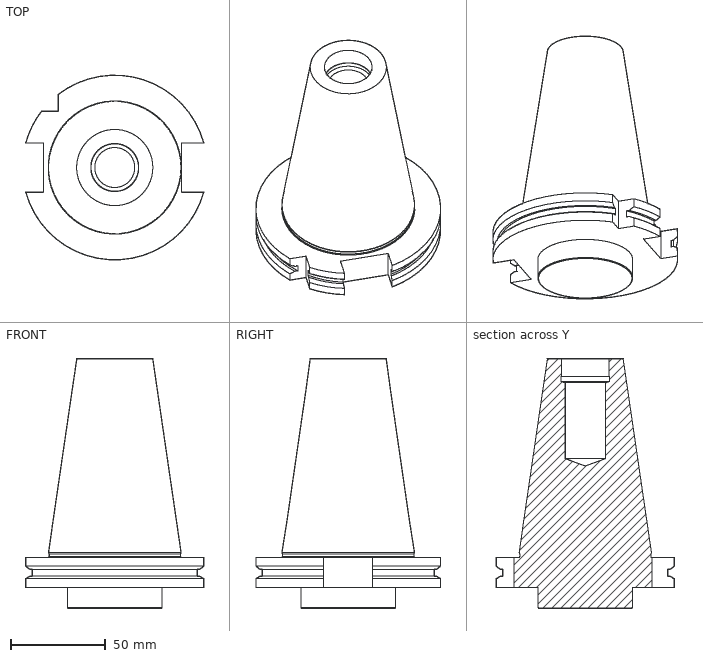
import cadquery as cq

total_height = 131.6
flange_bottom = 10.9
flange_top = 26.8
gauge_height = 29.3
gauge_bevel_height = 0.7

pilot_radius = 50.0 / 2
pilot_chamfer = 0.4
flange_radius = 97.4 / 2
neck_radius = 69.4 / 2
neck_foot_bevel = 0.4
taper_base_radius = 70.0 / 2
taper_top_radius = 40.1 / 2

groove_floor_radius = 45.4
groove_bottom = 17.0
groove_top = 20.5
rim_chamfer_depth = 2.1
lower_rim_chamfer_height = 1.3
upper_rim_chamfer_height = 1.7

slot_width = 25.8
left_slot_floor = 37.6
right_slot_floor = 35.3
notch_x = 29.9
notch_y = 29.7

bore_radius = 25.0 / 2
relief_radius = 25.4 / 2
tap_hole_radius = 21.0 / 2
bore_depth = 12.0
shoulder_drop = 0.7
relief_height = 2.5
tap_hole_depth = 52.6
drill_point_height = 3.8


def turned_body():
    """Pilot, grooved flange, neck and taper as one revolved profile."""
    profile = [
        (0, 0),
        (pilot_radius - pilot_chamfer, 0),
        (pilot_radius, pilot_chamfer),
        (pilot_radius, flange_bottom),
        (flange_radius, flange_bottom),
        (flange_radius, groove_bottom - lower_rim_chamfer_height),
        (flange_radius - rim_chamfer_depth, groove_bottom),
        (groove_floor_radius, groove_bottom),
        (groove_floor_radius, groove_top),
        (flange_radius - rim_chamfer_depth, groove_top),
        (flange_radius, groove_top + upper_rim_chamfer_height),
        (flange_radius, flange_top),
        (neck_radius + neck_foot_bevel, flange_top),
        (neck_radius, flange_top + neck_foot_bevel),
        (neck_radius, gauge_height - gauge_bevel_height),
        (taper_base_radius, gauge_height),
        (taper_top_radius, total_height),
        (0, total_height),
    ]
    return cq.Workplane("XZ").polyline(profile).close().revolve(360, (0, 0), (0, 1))


def bore():
    """Stepped blind hole ending in a drill point."""
    shoulder = total_height - bore_depth
    drill_end = total_height - tap_hole_depth
    profile = [
        (0, total_height),
        (bore_radius, total_height),
        (bore_radius, shoulder + relief_height),
        (relief_radius, shoulder + relief_height),
        (relief_radius, shoulder),
        (tap_hole_radius, shoulder - shoulder_drop),
        (tap_hole_radius, drill_end),
        (0, drill_end - drill_point_height),
    ]
    return cq.Workplane("XZ").polyline(profile).close().revolve(360, (0, 0), (0, 1))


def flange_cutter(x_start, x_end, y_start, y_end):
    """Box through the full thickness of the flange."""
    return cq.Workplane("XY").box(
        x_end - x_start, y_end - y_start, flange_top - flange_bottom, centered=False
    ).translate((x_start, y_start, flange_bottom))


half_slot = slot_width / 2
left_slot = flange_cutter(-flange_radius, -left_slot_floor, -half_slot, half_slot)
right_slot = flange_cutter(right_slot_floor, flange_radius, -half_slot, half_slot)
notch = flange_cutter(-flange_radius, -notch_x, notch_y, flange_radius)

result = turned_body().cut(bore()).cut(left_slot).cut(right_slot).cut(notch)